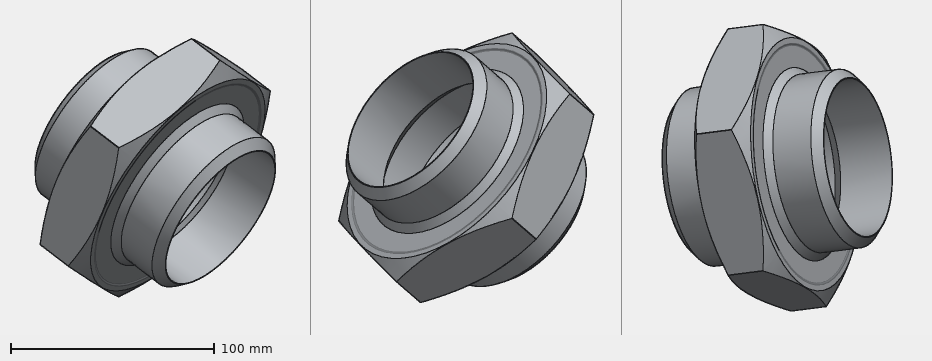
import cadquery as cq
import math

overall_length = 88.0
nut_outer_diameter = 145.3
across_flats = 126.0
nut_width = 30.5
face_circle_radius = 62.8
corner_bevel_angle = 30.0

recess_radius = 59.5
recess_depth = 0.3
recess_wall_spread = 0.9

neck_radius = 44.3
bore_radius = 39.2
end_land = 0.5
collar_height = 3.6
chamber_radius = 44.9
chamber_mouth_width = 32.0

half_length = overall_length / 2
half_width = nut_width / 2
nut_corner_radius = nut_outer_diameter / 2


def revolve_about_x(points):
    """Solid of revolution about X from (x, radius) points."""
    return cq.Workplane("XY").polyline(points).close().revolve(360, (0, 0, 0), (1, 0, 0))


def symmetric_outline(half_points):
    """Close (x, radius) points, listed from the end at +X towards the middle, by mirroring them."""
    mirrored = [(-x, radius) for x, radius in reversed(half_points)]
    return half_points + mirrored


def make_nut():
    corner_bevel = (nut_corner_radius - face_circle_radius) * math.tan(math.radians(corner_bevel_angle))
    turned_blank = revolve_about_x(symmetric_outline([
        (half_width, 0),
        (half_width, face_circle_radius),
        (half_width - corner_bevel, nut_corner_radius),
    ]))
    across_corners = across_flats / math.cos(math.pi / 6)
    hexagon = (
        cq.Workplane("YZ")
        .polygon(6, across_corners)
        .extrude(half_width, both=True)
    )
    recess = make_face_recess()
    return hexagon.intersect(turned_blank).cut(recess).cut(recess.mirror("YZ"))


def make_face_recess():
    """Cutter for the recess in the +X nut face; its wall is an S of two equal arcs."""
    floor = half_width - recess_depth
    foot_radius = recess_radius - recess_wall_spread / 2
    rim_radius = recess_radius + recess_wall_spread / 2
    return (
        cq.Workplane("XY")
        .moveTo(floor, 0)
        .lineTo(floor, foot_radius)
        .tangentArcPoint((floor + recess_depth / 2, recess_radius), relative=False)
        .tangentArcPoint((half_width, rim_radius), relative=False)
        .lineTo(half_width, 0)
        .close()
        .revolve(360, (0, 0, 0), (1, 0, 0))
    )


def make_necks():
    end_radius = bore_radius + end_land
    end_bevel = neck_radius - end_radius
    collar_root = half_width - recess_depth
    return revolve_about_x(symmetric_outline([
        (half_length, 0),
        (half_length, end_radius),
        (half_length - end_bevel, neck_radius),
        (collar_root + collar_height, neck_radius),
        (collar_root, neck_radius + collar_height),
    ]))


def make_bore():
    chamber_mouth = chamber_mouth_width / 2
    chamber_end = chamber_mouth - (chamber_radius - bore_radius)
    return revolve_about_x(symmetric_outline([
        (half_length, 0),
        (half_length, bore_radius),
        (chamber_mouth, bore_radius),
        (chamber_end, chamber_radius),
    ]))


result = make_nut().union(make_necks()).cut(make_bore())